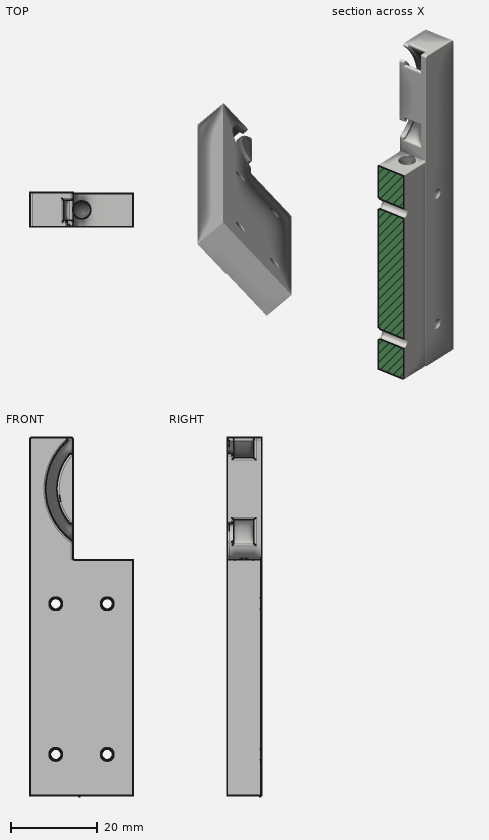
import cadquery as cq

height = 83.5
width = 24.0
neck_width = 10.0
neck_depth = 8.0
shoulder_depth = 7.8
shoulder_height = 55.0
edge_radius = 0.5

nub_height = 0.25
nub_diameter = 0.2
nub_x = 11.4
nub_y = 7.6

ring_x = 18.7
ring_z = 71.6
mouth_outer_radius = 15.0
mouth_inner_radius = 12.4
outer_undercut = 0.6
inner_undercut = 0.6
cavity_front = 1.5
cavity_back = 6.2

hole_diameter = 2.5
hole_mouth_diameter = 3.1
hole_mouth_depth = 0.4
hole_columns = (6.0, 17.95)
hole_rows = (9.85, 44.8)

seat_radius = 2.1
seat_x = 12.0
seat_y = 3.9

margin = 0.01


def block(x_size, y_size, top):
    """Block that stands on the base plane, with its left front edge at the origin."""
    base = cq.Workplane("XY").workplane(offset=nub_height)
    return base.rect(x_size, y_size, centered=False).extrude(top - nub_height)


def ring(outer_radius, inner_radius, front, back):
    """Ring around the slot axis, between two depths."""
    plane = cq.Plane(origin=(ring_x, front, ring_z), xDir=(1, 0, 0), normal=(0, 1, 0))
    return cq.Workplane(plane).circle(outer_radius).circle(inner_radius).extrude(back - front)


def ring_slot():
    """T-slot: a narrow mouth at the front and a wider cavity behind it, within the neck only."""
    mouth = ring(mouth_outer_radius, mouth_inner_radius, 0, cavity_front)
    cavity = ring(
        mouth_outer_radius + outer_undercut, mouth_inner_radius - inner_undercut, cavity_front, cavity_back
    )
    return mouth.union(cavity).intersect(block(neck_width, neck_depth, height))


def edges_within(low, high):
    """Selector for the edges that lie wholly inside a box, its limits included."""
    low_corner = [value - margin for value in low]
    high_corner = [value + margin for value in high]
    return cq.selectors.BoxSelector(low_corner, high_corner, boundingbox=True)


def neck_edges():
    """Selector for the rounded edges of the slotted neck; the island's front edge stays sharp."""
    side_face = edges_within((neck_width, 0, shoulder_height), (neck_width, cavity_back, height))
    shoulder_corner = edges_within(
        (neck_width, 0, shoulder_height), (neck_width, shoulder_depth, shoulder_height)
    )
    slot_top = edges_within((neck_width / 2, 0, height), (neck_width, cavity_back, height))
    top_right = edges_within((neck_width, cavity_back, height), (neck_width, neck_depth, height))
    front_mouth = edges_within((edge_radius * 2, 0, shoulder_height), (neck_width, 0, height))
    island_front = edges_within(
        (neck_width, 0, ring_z - mouth_inner_radius), (neck_width, 0, ring_z + mouth_inner_radius)
    )
    return side_face + shoulder_corner + slot_top + top_right + front_mouth - island_front


def screw_hole(x, z):
    """Through hole along Y with a wider mouth that narrows at 45 degrees."""
    plane = cq.Plane(origin=(x, 0, z), xDir=(1, 0, 0), normal=(0, 1, 0))
    hole = cq.Workplane(plane).circle(hole_diameter / 2).extrude(neck_depth)
    cone_depth = (hole_mouth_diameter - hole_diameter) / 2
    mouth = cq.Workplane(plane).circle(hole_mouth_diameter / 2).extrude(hole_mouth_depth)
    cone_start = cq.Workplane(plane).workplane(offset=hole_mouth_depth)
    cone = cone_start.circle(hole_mouth_diameter / 2).extrude(cone_depth, taper=45)
    return hole.union(mouth).union(cone)


body = block(width, shoulder_depth, shoulder_height).union(block(neck_width, neck_depth, height))

body = body.edges("|Y and <X and >Z").fillet(edge_radius)
body = body.cut(ring_slot())

body = body.edges(neck_edges()).fillet(edge_radius)

for column in hole_columns:
    for row in hole_rows:
        body = body.cut(screw_hole(column, row))

seat = cq.Workplane("XY").sphere(seat_radius).translate((seat_x, seat_y, shoulder_height))
body = body.cut(seat)

nub = cq.Workplane("XY").center(nub_x, nub_y).circle(nub_diameter / 2).extrude(nub_height)
result = body.union(nub)